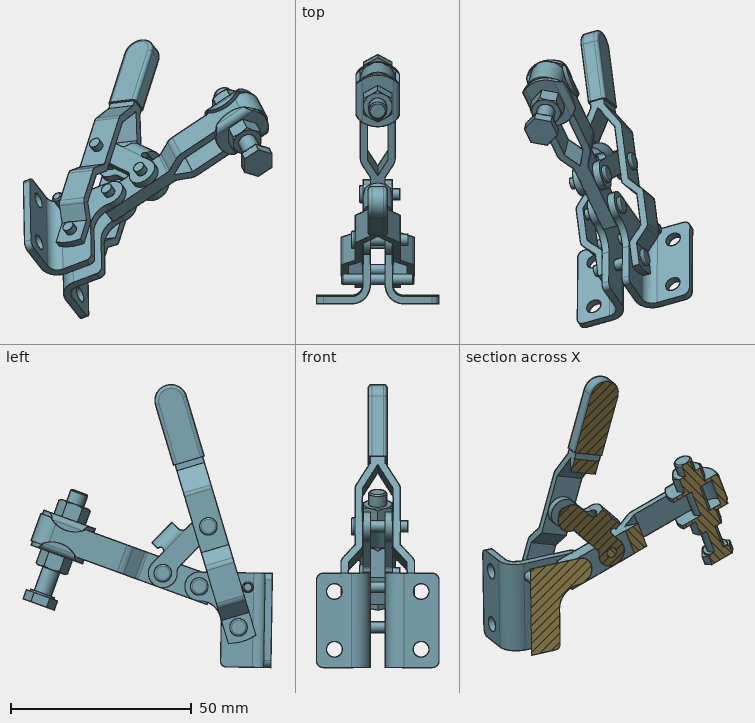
import cadquery as cq
import math


SHEET = 2.0
LUG_RADIUS = 4.0
WEB_INNER = SHEET
WEB_OUTER = WEB_INNER + SHEET
PIN_RADIUS = 1.6
PIN_HEAD_RADIUS = 2.4
PIN_HEAD_THICKNESS = 1.0
PIN_TAIL = 2.0
ASSEMBLY_LEAN = 0.9

BASE_HALF_WIDTH = 17.0
BASE_HEIGHT = 26.2
WEB_DEPTH = 14.0
BEND_INNER = 3.1
FLANGE_CORNER = 1.95
WEB_CORNER = 1.6
NOSE_FILLET = 5.95
MOUNT_HOLE_DIAMETER = 4.3
MOUNT_HOLE_X = 12.0
MOUNT_HOLE_Z = (5.1, 21.1)
STOP_RADIUS = 1.5
STOP_HALF_LENGTH = 10.0
STOP_CHAMFER = 0.4
ARM_PIVOT = (20.2, BASE_HEIGHT - LUG_RADIUS)
STOP_PLACE = (6.7, BASE_HEIGHT - LUG_RADIUS)
HANDLE_PIVOT = (9.2, 11.05)

ARM_RISE = 19.1
LINK_PIVOT_ON_ARM = 10.7
ARM_TAIL = 3.75
ARM_SPREAD_START = 17.1
ARM_SPREAD_END = 21.7
ARM_NOSE_RADIUS = 4.85
ARM_NOSE_Y = 43.2
ARM_INNER_BEND = 1.6
ARM_OUTER_BEND = ARM_INNER_BEND + SHEET

SPINDLE_Y = 40.0
SPINDLE_RADIUS = 2.5
SPINDLE_TOP = 13.2
SPINDLE_BOTTOM = -19.9
SPINDLE_CHAMFER = 0.4
HEX_FLATS = 8.0
HEX_CHAMFER = 0.4
HEAD_HEIGHT = 2.75
HEAD_COLLAR_RADIUS = 3.5
HEAD_COLLAR_HEIGHT = 0.55
NUT_HEIGHT = 4.5
WASHER_SHEET = 1.2
WASHER_RADIUS = 7.6
WASHER_BEND = 1.7
WASHER_SKIRT_END = 1.95
WASHER_TOP = LUG_RADIUS + WASHER_SHEET

HANDLE_LEAN = 17.5
HANDLE_GAP = 0.15
HANDLE_OUTER = WEB_OUTER + HANDLE_GAP + SHEET
HANDLE_SPLAY = 3.9
HANDLE_END = -4.1
HANDLE_END_SAGITTA = 0.6
SPLAY_LOW = (3.1, 7.2)
SPLAY_HIGH = (18.3, 22.7)
NECK = (39.5, 46.4)
HANDLE_BEND = 2.0
LINK_PIVOT_ON_HANDLE = 29.1
GRIP_START = 48.1
GRIP_HALF_WIDTH = 4.5
GRIP_ARC_CENTRE = 65.4
GRIP_THICKNESS = 5.3
GRIP_FILLET = 1.0

LINK_EDGE = LUG_RADIUS / 2
LINK_FILLET = 1.95
BRIDGE_LOW = 3.9
BRIDGE_HIGH = 11.8
BRIDGE_FILLET = 1.6
NOTCH_WIDTH = 1.7
NOTCH_DEPTH = 1.0


def along(start, distance, angle):
    """Point in the YZ plane at a distance and an angle above +Y."""
    radians = math.radians(angle)
    return (start[0] + distance * math.cos(radians), start[1] + distance * math.sin(radians))


LINK_ARM_PIVOT = along(ARM_PIVOT, LINK_PIVOT_ON_ARM, ARM_RISE)
LINK_HANDLE_PIVOT = along(HANDLE_PIVOT, LINK_PIVOT_ON_HANDLE, 90 - HANDLE_LEAN)
LINK_LENGTH = math.dist(LINK_ARM_PIVOT, LINK_HANDLE_PIVOT)
LINK_LEAN = math.degrees(math.atan2(LINK_ARM_PIVOT[0] - LINK_HANDLE_PIVOT[0],
                                    LINK_HANDLE_PIVOT[1] - LINK_ARM_PIVOT[1]))


def both_sides(half):
    """A half and its mirror image across X = 0."""
    return half.union(half.mirror("YZ"))


def both_ends(upper):
    """An upper piece and its mirror image below the arm's mid plane."""
    return upper.union(upper.mirror("XY"))


def place(shape, pivot, angle):
    """Turn a shape about the X axis and move its origin to a pivot."""
    return shape.rotate((0, 0, 0), (1, 0, 0), angle).translate((0, *pivot))


def rod(radius, x_start, x_end, centre):
    """Round bar along X."""
    return cq.Workplane("YZ", origin=(x_start, *centre)).circle(radius).extrude(x_end - x_start)


def headed_pin(centre, seat):
    """Pin along X through sheets whose outer faces lie at x = -seat and x = seat."""
    head = rod(PIN_HEAD_RADIUS, -seat - PIN_HEAD_THICKNESS, -seat, centre)
    head = head.faces("<X").edges().fillet(PIN_HEAD_THICKNESS / 2)
    return head.union(rod(PIN_RADIUS, -seat, seat + PIN_TAIL, centre))


def pin_hole(centre):
    """Cutter for a pin hole through every sheet."""
    return rod(PIN_RADIUS, -BASE_HALF_WIDTH, BASE_HALF_WIDTH, centre)


def sheet_outline(outer_path):
    """Outer path followed by its mitred offset, one sheet thickness to the left of travel."""
    normals = []
    for (x1, y1), (x2, y2) in zip(outer_path, outer_path[1:]):
        length = math.hypot(x2 - x1, y2 - y1)
        normals.append(((y1 - y2) / length, (x2 - x1) / length))
    before = [normals[0]] + normals
    after = normals + [normals[-1]]
    inner_path = []
    for (x, y), (ax, ay), (bx, by) in zip(outer_path, before, after):
        stretch = SHEET / (1 + ax * bx + ay * by)
        inner_path.append((x + stretch * (ax + bx), y + stretch * (ay + by)))
    return outer_path + inner_path[::-1]


def base_angle():
    """Right-hand angle: mounting flange, bend and web with its pivot nose."""
    bend_outer = BEND_INNER + SHEET
    bend_x = WEB_INNER + bend_outer
    reach = ARM_PIVOT[0] + LUG_RADIUS
    section = (
        cq.Workplane("XY")
        .moveTo(BASE_HALF_WIDTH, 0)
        .lineTo(bend_x, 0)
        .radiusArc((WEB_INNER, bend_outer), bend_outer)
        .lineTo(WEB_INNER, reach)
        .lineTo(WEB_OUTER, reach)
        .lineTo(WEB_OUTER, bend_outer)
        .radiusArc((bend_x, SHEET), -BEND_INNER)
        .lineTo(BASE_HALF_WIDTH, SHEET)
        .close()
        .extrude(BASE_HEIGHT)
    )
    nose_y, nose_z = ARM_PIVOT
    arc_y = WEB_DEPTH + NOSE_FILLET
    arc_z = nose_z - math.sqrt((LUG_RADIUS + NOSE_FILLET) ** 2 - (arc_y - nose_y) ** 2)
    share = LUG_RADIUS / (LUG_RADIUS + NOSE_FILLET)
    tangent = (nose_y + share * (arc_y - nose_y), nose_z + share * (arc_z - nose_z))
    side = (
        cq.Workplane("YZ")
        .lineTo(WEB_DEPTH - WEB_CORNER, 0)
        .radiusArc((WEB_DEPTH, WEB_CORNER), -WEB_CORNER)
        .lineTo(WEB_DEPTH, arc_z)
        .radiusArc(tangent, NOSE_FILLET)
        .threePointArc((nose_y + LUG_RADIUS, nose_z), (nose_y, BASE_HEIGHT))
        .lineTo(0, BASE_HEIGHT)
        .close()
        .extrude(BASE_HALF_WIDTH)
    )
    angle = section.intersect(side)
    angle = angle.faces(">X").edges("|Y").fillet(FLANGE_CORNER)
    for z in MOUNT_HOLE_Z:
        hole = cq.Workplane("XZ", origin=(MOUNT_HOLE_X, 0, z)).circle(MOUNT_HOLE_DIAMETER / 2)
        angle = angle.cut(hole.extrude(-SHEET))
    return angle


def make_base():
    """Two angles held together by the arm pin, the handle pin and the stop pin."""
    stop = rod(STOP_RADIUS, -STOP_HALF_LENGTH, STOP_HALF_LENGTH, STOP_PLACE)
    stop = stop.faces("<X or >X").edges().chamfer(STOP_CHAMFER)
    return (
        both_sides(base_angle())
        .union(headed_pin(ARM_PIVOT, WEB_OUTER))
        .union(headed_pin(HANDLE_PIVOT, HANDLE_OUTER))
        .union(stop)
    )


def arm_strip():
    """Strip folded round a nose, its two tails meeting at X = 0."""
    path = [
        (SHEET, -ARM_TAIL),
        (SHEET, ARM_SPREAD_START),
        (ARM_NOSE_RADIUS, ARM_SPREAD_END),
        (ARM_NOSE_RADIUS, ARM_NOSE_Y),
    ]
    side = cq.Workplane("XY").polyline(sheet_outline(path)).close().extrude(LUG_RADIUS, both=True)
    for (x, y), radius in ((path[1], ARM_INNER_BEND), (path[2], ARM_OUTER_BEND)):
        side = side.edges("|Z").edges(cq.NearestToPointSelector((x, y, 0))).fillet(radius)
    inner = ARM_NOSE_RADIUS - SHEET
    nose = (
        cq.Workplane("XY", origin=(0, ARM_NOSE_Y, 0))
        .moveTo(ARM_NOSE_RADIUS, 0)
        .threePointArc((0, ARM_NOSE_RADIUS), (-ARM_NOSE_RADIUS, 0))
        .lineTo(-inner, 0)
        .threePointArc((0, inner), (inner, 0))
        .close()
        .extrude(LUG_RADIUS, both=True)
    )
    return both_sides(side).union(nose)


def washer():
    """Round washer on top of the arm, both edges folded down over the arm sides."""
    half_width = ARM_NOSE_RADIUS + WASHER_SHEET
    channel = (
        cq.Workplane("XZ")
        .rect(2 * half_width, 2 * WASHER_TOP)
        .extrude(WASHER_RADIUS, both=True)
        .edges("|Y")
        .fillet(WASHER_BEND)
        .cut(cq.Workplane("XY").box(2 * ARM_NOSE_RADIUS, 2 * WASHER_RADIUS, 2 * LUG_RADIUS))
    )
    blank = channel.intersect(cq.Workplane("XY").circle(WASHER_RADIUS).extrude(WASHER_TOP))
    plate = blank.intersect(
        cq.Workplane("XY", origin=(0, 0, LUG_RADIUS)).circle(WASHER_RADIUS).extrude(WASHER_SHEET)
    )
    skirt_curve = rod(WASHER_RADIUS, -half_width, half_width, (0, WASHER_SKIRT_END + WASHER_RADIUS))
    return plate.union(blank.intersect(skirt_curve))


def hexagon(height):
    """Hexagonal prism rising from Z = 0 with its corners toward +Y and -Y."""
    corner_diameter = HEX_FLATS / math.cos(math.pi / 6)
    return cq.Workplane("XY").polygon(6, corner_diameter).extrude(height).rotate((0, 0, 0), (0, 0, 1), 90)


def nut():
    """Hexagon with its top corners turned off, seated on the washer."""
    corner_radius = HEX_FLATS / 2 / math.cos(math.pi / 6)
    turned = cq.Workplane("XY").circle(corner_radius).extrude(NUT_HEIGHT)
    turned = turned.faces(">Z").edges().chamfer(HEX_CHAMFER, corner_radius - HEX_FLATS / 2)
    return hexagon(NUT_HEIGHT).intersect(turned).translate((0, 0, WASHER_TOP))


def spindle():
    """Hexagon bolt, head down."""
    shank = cq.Workplane("XY", origin=(0, 0, SPINDLE_BOTTOM)).circle(SPINDLE_RADIUS)
    shank = shank.extrude(SPINDLE_TOP - SPINDLE_BOTTOM).faces(">Z").edges().chamfer(SPINDLE_CHAMFER)
    collar = cq.Workplane("XY").circle(HEAD_COLLAR_RADIUS).extrude(HEAD_HEIGHT + HEAD_COLLAR_HEIGHT)
    head = hexagon(HEAD_HEIGHT).union(collar).translate((0, 0, SPINDLE_BOTTOM))
    return shank.union(head)


def make_arm():
    """Arm strip with its spindle, washers and nuts, and the pin that carries the link."""
    clamping_set = both_ends(washer()).union(both_ends(nut())).union(spindle())
    arm = arm_strip().cut(pin_hole((0, 0))).union(clamping_set.translate((0, SPINDLE_Y, 0)))
    arm = place(arm, ARM_PIVOT, ARM_RISE)
    return arm.union(headed_pin(LINK_ARM_PIVOT, WEB_OUTER))


def handle_strips():
    """Two strips, splayed round the base nose and closed together under the grip."""
    splayed = HANDLE_OUTER + HANDLE_SPLAY
    path = [
        (HANDLE_OUTER, HANDLE_END),
        (HANDLE_OUTER, SPLAY_LOW[0]),
        (splayed, SPLAY_LOW[1]),
        (splayed, SPLAY_HIGH[0]),
        (HANDLE_OUTER, SPLAY_HIGH[1]),
        (HANDLE_OUTER, NECK[0]),
        (SHEET, NECK[1]),
        (SHEET, GRIP_ARC_CENTRE),
    ]
    strip = cq.Workplane("XZ").polyline(sheet_outline(path)).close().extrude(LUG_RADIUS, both=True)
    for x, z in (path[2], path[3], path[5]):
        strip = strip.edges("|Y").edges(cq.NearestToPointSelector((x, 0, z))).fillet(HANDLE_BEND)
    corner_z = HANDLE_END + HANDLE_END_SAGITTA
    width_shape = (
        cq.Workplane("YZ")
        .moveTo(-LUG_RADIUS, corner_z)
        .threePointArc((0, HANDLE_END), (LUG_RADIUS, corner_z))
        .lineTo(LUG_RADIUS, GRIP_ARC_CENTRE)
        .lineTo(-LUG_RADIUS, GRIP_ARC_CENTRE)
        .close()
        .extrude(splayed)
    )
    return both_sides(strip.intersect(width_shape))


def grip():
    """Round-ended grip with soft edges."""
    return (
        cq.Workplane("YZ")
        .moveTo(-GRIP_HALF_WIDTH, GRIP_START)
        .lineTo(GRIP_HALF_WIDTH, GRIP_START)
        .lineTo(GRIP_HALF_WIDTH, GRIP_ARC_CENTRE)
        .threePointArc((0, GRIP_ARC_CENTRE + GRIP_HALF_WIDTH), (-GRIP_HALF_WIDTH, GRIP_ARC_CENTRE))
        .close()
        .extrude(GRIP_THICKNESS / 2, both=True)
        .faces("<X or >X")
        .edges("not <Z")
        .fillet(GRIP_FILLET)
    )


def link_plate():
    """Right-hand link plate with a lug at each pivot."""
    shoulder = math.sqrt(LUG_RADIUS ** 2 - LINK_EDGE ** 2)
    return (
        cq.Workplane("YZ", origin=(WEB_INNER, 0, 0))
        .moveTo(-LINK_EDGE, shoulder)
        .threePointArc((0, -LUG_RADIUS), (LUG_RADIUS, 0))
        .lineTo(LUG_RADIUS, LINK_LENGTH)
        .threePointArc((0, LINK_LENGTH + LUG_RADIUS), (-LINK_EDGE, LINK_LENGTH - shoulder))
        .close()
        .extrude(SHEET)
        .edges("|X")
        .edges("<Y")
        .fillet(LINK_FILLET)
    )


def link_bridge():
    """Half-round bridge joining the link plates, relieved at both ends."""
    half_tube = (
        cq.Workplane("XY", origin=(0, LUG_RADIUS, 0))
        .moveTo(WEB_OUTER, 0)
        .threePointArc((0, WEB_OUTER), (-WEB_OUTER, 0))
        .lineTo(-WEB_INNER, 0)
        .threePointArc((0, WEB_INNER), (WEB_INNER, 0))
        .close()
        .extrude(LINK_LENGTH)
    )
    top = LUG_RADIUS + WEB_OUTER
    side = (
        cq.Workplane("YZ")
        .moveTo(LUG_RADIUS, BRIDGE_HIGH + BRIDGE_FILLET)
        .radiusArc((LUG_RADIUS + BRIDGE_FILLET, BRIDGE_HIGH), -BRIDGE_FILLET)
        .lineTo(top, BRIDGE_HIGH)
        .lineTo(top, BRIDGE_LOW)
        .lineTo(LUG_RADIUS + NOTCH_WIDTH, BRIDGE_LOW)
        .threePointArc((LUG_RADIUS + NOTCH_WIDTH / 2, BRIDGE_LOW + NOTCH_DEPTH), (LUG_RADIUS, BRIDGE_LOW))
        .close()
        .extrude(WEB_OUTER, both=True)
    )
    return half_tube.intersect(side)


def make_handle():
    """Handle strips and grip, joined to the link by the upper pin."""
    lever = place(handle_strips().union(grip()), HANDLE_PIVOT, -HANDLE_LEAN)
    link = place(both_sides(link_plate()).union(link_bridge()), LINK_ARM_PIVOT, LINK_LEAN)
    return (
        lever.union(link)
        .union(headed_pin(LINK_HANDLE_PIVOT, HANDLE_OUTER))
        .cut(pin_hole(HANDLE_PIVOT))
        .cut(pin_hole(LINK_ARM_PIVOT))
    )


def lean(body):
    """Lean a finished body back about the top edge of the mounting face."""
    return body.rotate((0, 0, BASE_HEIGHT), (1, 0, BASE_HEIGHT), ASSEMBLY_LEAN)


base = lean(make_base())
arm = lean(make_arm())
handle = lean(make_handle())

result = cq.Compound.makeCompound([base.solids().val(), arm.solids().val(), handle.solids().val()])